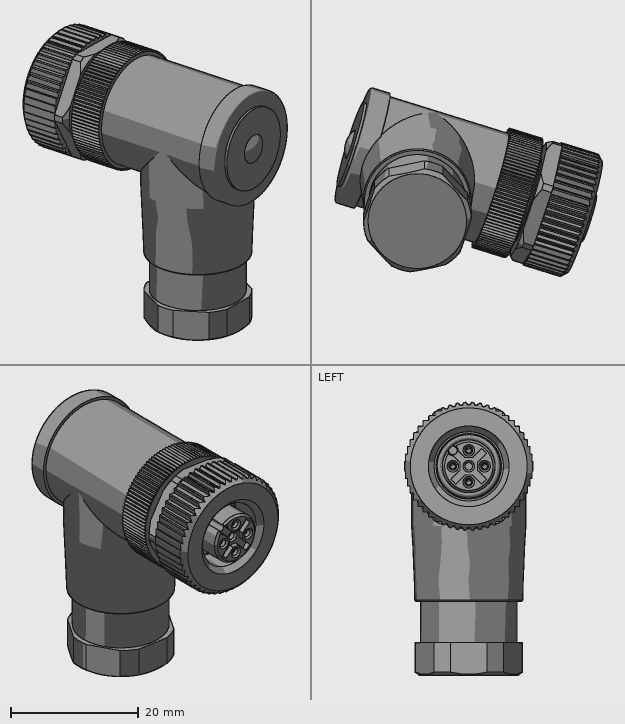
import cadquery as cq
import math


body_radius = 9.0
insert_face_x = -28.45
nut_face_x = -27.65
nut_knurl_end_x = -20.7
nut_end_x = -18.35
ring_start_x = -17.7
ring_end_x = -12.2
cap_start_x = 7.57
cap_end_x = 10.65
disc_end_x = 11.08
dome_end_x = 11.85

nut_across_flats = 18.0
nut_root_radius = 9.7
nut_tip_radius = 10.1
nut_teeth = 52
nut_tip_fraction = 0.2
nut_floor_fraction = 0.2
nut_trapezoid_sector = math.radians(24)
nut_front_chamfer = 0.9
nut_back_chamfer = 0.75
bore_radius = 5.45
bore_mouth_radius = 6.35
bore_step_radius = 5.15
bore_step_x = -22.0
bore_floor_x = -20.0

collar_radius = 6.9
collar_chamfer = 0.3
collar_end_x = -17.85
collar_neck_radius = 6.5
ring_radius = 9.85
ring_root_radius = 9.55
ring_teeth = 105
ring_chamfer = 0.2

cap_radius = 9.5
cap_fillet = 0.35
disc_radius = 6.9
dome_radius = 2.35

branch_taper_z = -9.45
branch_end_z = -21.25
branch_end_radius = 8.52
branch_chamfer = 0.2
neck_radius = 7.63
gland_top_z = -27.75
gland_bottom_z = -32.89
gland_radius = 8.5
gland_across_flats = 16.0
gland_chamfer_width = 0.75
gland_chamfer_height = 0.5

diagonal_angle = 45.0
insert_radius = 4.15
insert_chamfer = 0.35
seal_tube_radius = 0.45
seal_circle_radius = 4.53
pin_circle_radius = 2.5
pin_mouth_radius = 0.9
pin_hole_radius = 0.6
pin_mouth_depth = 0.3
pin_hole_depth = 1.0
contact_radius = 0.42
contact_depth = 5.0
center_hole_depth = 2.0
cross_width = 1.1
cross_half_length = 3.43
cross_center_width = 2.7
cross_depth = 0.9
key_radius = 0.66
key_mouth_radius = 0.82
key_offset = 3.5
key_opening_width = 1.0
key_depth = 7.0

overlap = 0.5


def rod(radius, start_x, end_x):
    """Cylinder along X."""
    return cq.Workplane("YZ", origin=(start_x, 0, 0)).circle(radius).extrude(end_x - start_x)


def hexagon_along_x(across_flats, start_x, end_x):
    """Hexagonal bar along X with corners at +Y and -Y."""
    corner_diameter = across_flats / math.cos(math.pi / 6)
    return cq.Workplane("YZ", origin=(start_x, 0, 0)).polygon(6, corner_diameter).extrude(end_x - start_x)


def prism_along_x(points, start_x, end_x):
    """Straight bar along X with a polygonal (Y, Z) section."""
    return cq.Workplane("YZ", origin=(start_x, 0, 0)).polyline(points).close().extrude(end_x - start_x)


def polar_point(radius, angle):
    """(Y, Z) point at an angle measured from +Y towards +Z."""
    return (radius * math.cos(angle), radius * math.sin(angle))


def nut_groove(angle):
    """Points of one nut groove: a trapezoid near +Z and -Z, an axis-aligned step elsewhere.

    The two grooves on the Y axis are replaced by flats.
    """
    half_pitch = math.pi / nut_teeth
    tip_offset = half_pitch * (1 - nut_tip_fraction)
    start = polar_point(nut_tip_radius, angle - tip_offset)
    end = polar_point(nut_tip_radius, angle + tip_offset)
    if abs(math.sin(angle)) < math.sin(half_pitch):
        return [start, end]
    if abs(math.sin(angle)) > math.cos(nut_trapezoid_sector):
        floor_offset = half_pitch * nut_floor_fraction
        floor_start = polar_point(nut_root_radius, angle - floor_offset)
        floor_end = polar_point(nut_root_radius, angle + floor_offset)
        return [start, floor_start, floor_end, end]
    step_corner = (min(start[0], end[0], key=abs), min(start[1], end[1], key=abs))
    return [start, step_corner, end]


def make_coupling_nut():
    pitch = 2 * math.pi / nut_teeth
    outline = []
    for i in range(nut_teeth):
        outline += nut_groove(i * pitch)
    hexagon = hexagon_along_x(nut_across_flats, nut_knurl_end_x, nut_end_x)
    nut = prism_along_x(outline, nut_face_x, nut_knurl_end_x).union(hexagon)
    envelope = rod(nut_tip_radius, nut_face_x, nut_end_x)
    envelope = envelope.faces("<X").chamfer(nut_front_chamfer)
    envelope = envelope.faces(">X").chamfer(nut_back_chamfer)
    nut = nut.intersect(envelope)

    mouth_depth = bore_mouth_radius - bore_radius
    bore_profile = (
        cq.Workplane("XY")
        .moveTo(nut_face_x, 0)
        .lineTo(nut_face_x, bore_mouth_radius)
        .lineTo(nut_face_x + mouth_depth, bore_radius)
        .lineTo(bore_step_x, bore_radius)
        .lineTo(bore_step_x, bore_step_radius)
        .lineTo(bore_floor_x, bore_step_radius)
        .lineTo(bore_floor_x, 0)
        .close()
    )
    return nut.cut(bore_profile.revolve(360, (0, 0, 0), (1, 0, 0)))


def make_knurled_ring():
    half_pitch = math.pi / ring_teeth
    outline = []
    for i in range(ring_teeth):
        groove = math.pi / 2 + 2 * i * half_pitch
        outline.append(polar_point(ring_root_radius, groove))
        outline.append(polar_point(ring_radius, groove + half_pitch))
    ring = prism_along_x(outline, ring_start_x, ring_end_x)
    return ring.intersect(rod(ring_radius, ring_start_x, ring_end_x).faces("<X").chamfer(ring_chamfer))


def countersunk_hole(start_x, end_x):
    """Cutter for a countersunk, flat-bottomed hole on the insert axis."""
    profile = (
        cq.Workplane("XY")
        .moveTo(start_x, 0)
        .lineTo(start_x, pin_mouth_radius)
        .lineTo(start_x + pin_mouth_depth, pin_hole_radius)
        .lineTo(end_x, pin_hole_radius)
        .lineTo(end_x, 0)
        .close()
    )
    return profile.revolve(360, (0, 0, 0), (1, 0, 0))


def contact_socket():
    """Cutter for a contact: countersunk hole, then a narrower bore with a conical bottom."""
    contact_start_x = insert_face_x + pin_hole_depth
    contact_end_x = insert_face_x + contact_depth
    contact_profile = (
        cq.Workplane("XY")
        .moveTo(contact_start_x, 0)
        .lineTo(contact_start_x, contact_radius)
        .lineTo(contact_end_x, contact_radius)
        .lineTo(contact_end_x + contact_radius, 0)
        .close()
    )
    contact = contact_profile.revolve(360, (0, 0, 0), (1, 0, 0))
    return countersunk_hole(insert_face_x, contact_start_x).union(contact)


def key_groove():
    """Cutter for the round keyway with a 45 degree countersink and an opening through the insert wall."""
    face = cq.Workplane("YZ", origin=(insert_face_x, 0, 0))
    key_mouth_depth = key_mouth_radius - key_radius
    key_face = face.center(key_offset, 0)
    key = key_face.circle(key_radius).extrude(key_depth)
    key = key.union(key_face.circle(key_mouth_radius).extrude(key_mouth_depth, taper=45))
    opening_face = face.center(key_offset + key_radius, 0)
    key = key.union(opening_face.rect(2 * key_radius, key_opening_width).extrude(key_depth))
    return key.rotate((0, 0, 0), (1, 0, 0), diagonal_angle)


def make_insert():
    insert = rod(insert_radius, insert_face_x, bore_floor_x + overlap).faces("<X").chamfer(insert_chamfer)
    seal = (
        cq.Workplane("XY", origin=(bore_floor_x, 0, 0))
        .center(0, seal_circle_radius)
        .circle(seal_tube_radius)
        .revolve(360, (0, -seal_circle_radius, 0), (1, -seal_circle_radius, 0))
    )
    insert = insert.union(seal)

    face = cq.Workplane("YZ", origin=(insert_face_x, 0, 0))
    cross = face.rect(cross_center_width, cross_center_width).extrude(cross_depth)
    for angle in (diagonal_angle, -diagonal_angle):
        arm = face.rect(2 * cross_half_length, cross_width).extrude(cross_depth)
        cross = cross.union(arm.rotate((0, 0, 0), (1, 0, 0), angle))
    insert = insert.cut(cross)

    insert = insert.cut(countersunk_hole(insert_face_x + cross_depth, insert_face_x + center_hole_depth))
    socket = contact_socket()
    for y, z in ((1, 0), (0, 1), (-1, 0), (0, -1)):
        insert = insert.cut(socket.translate((0, y * pin_circle_radius, z * pin_circle_radius)))

    return insert.cut(key_groove())


def mitre_wedge():
    """Prism of all points lying further below the body axis than they are beside the branch axis."""
    size = 2 * body_radius
    triangle = cq.Workplane("XZ").polyline([(0, 0), (size, -size), (-size, -size)]).close()
    return triangle.extrude(size, both=True)


def make_body():
    body = rod(body_radius, ring_end_x - overlap, cap_end_x - overlap).cut(mitre_wedge())
    collar = rod(collar_radius, nut_end_x - overlap, collar_end_x).faces(">X").chamfer(collar_chamfer)
    collar_neck = rod(collar_neck_radius, nut_end_x, ring_start_x + overlap)
    return body.union(make_knurled_ring()).union(collar).union(collar_neck)


def make_cap():
    cap = rod(cap_radius, cap_start_x, cap_end_x).faces(">X").edges().fillet(cap_fillet)
    disc = rod(disc_radius, cap_start_x, disc_end_x)
    dome_height = dome_end_x - disc_end_x
    sphere_radius = (dome_radius**2 + dome_height**2) / (2 * dome_height)
    dome_profile = (
        cq.Workplane("XY")
        .moveTo(disc_end_x, 0)
        .lineTo(disc_end_x, dome_radius)
        .radiusArc((dome_end_x, 0), sphere_radius)
        .close()
    )
    dome = dome_profile.revolve(360, (0, 0, 0), (1, 0, 0))
    return cap.union(disc).union(dome)


def make_branch():
    """Cable branch, mitred at 45 degrees into the body of equal radius."""
    elbow = cq.Workplane("XY").circle(body_radius).extrude(branch_taper_z).intersect(mitre_wedge())
    profile = (
        cq.Workplane("XZ")
        .moveTo(0, branch_taper_z)
        .lineTo(body_radius, branch_taper_z)
        .lineTo(branch_end_radius, branch_end_z + branch_chamfer)
        .lineTo(branch_end_radius - branch_chamfer, branch_end_z)
        .lineTo(neck_radius, branch_end_z)
        .lineTo(neck_radius, gland_top_z)
        .lineTo(0, gland_top_z)
        .close()
    )
    return elbow.union(profile.revolve(360, (0, 0, 0), (0, 1, 0)))


def make_gland_nut():
    height = gland_top_z - gland_bottom_z
    base = cq.Workplane("XY", origin=(0, 0, gland_bottom_z))
    corner_diameter = gland_across_flats / math.cos(math.pi / 6)
    nut = base.polygon(6, corner_diameter).extrude(height).rotate((0, 0, 0), (0, 0, 1), 30)
    envelope = base.circle(gland_radius).extrude(height)
    envelope = envelope.faces("<Z").chamfer(gland_chamfer_height, gland_chamfer_width)
    return nut.intersect(envelope)


result = (
    make_body().union(make_cap()).union(make_branch()).union(make_gland_nut())
    .union(make_coupling_nut()).union(make_insert())
)